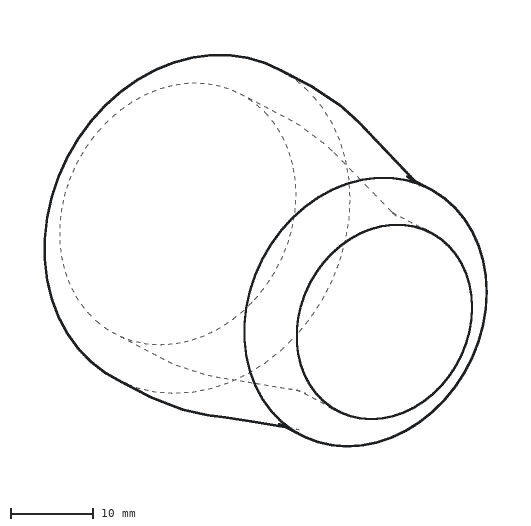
import cadquery as cq
import math

length = 51.0
large_diameter = 42.3
large_radius = large_diameter / 2
small_radius = 16.8
large_bevel = 4.8
small_bevel = 4.65

taper_start = 12.25
taper_end = 41.8
blend_length = 5.45
angle_iterations = 30

large_bore_radius = large_radius - large_bevel
small_bore_radius = small_radius - small_bevel


def add_transition(profile, start, end):
    """Continue a profile from start to end as arc, straight cone line, arc.

    Both arcs are tangent to the axis direction and to the cone line.
    """
    run = end[0] - start[0]
    rise = end[1] - start[1]
    direction = math.copysign(1.0, run)
    sign = math.copysign(1.0, rise)
    angle = math.atan2(abs(rise), abs(run))
    for _ in range(angle_iterations):
        tangent_length = blend_length / math.sin(angle) * math.tan(angle / 2)
        angle = math.atan2(abs(rise), abs(run) - 2 * tangent_length)
    blend_radius = blend_length / math.sin(angle)

    def arc_offset(turn):
        along = direction * blend_radius * math.sin(turn)
        across = sign * blend_radius * (1 - math.cos(turn))
        return along, across

    mid_along, mid_across = arc_offset(angle / 2)
    full_along, full_across = arc_offset(angle)
    return (
        profile
        .threePointArc(
            (start[0] + mid_along, start[1] + mid_across),
            (start[0] + full_along, start[1] + full_across),
        )
        .lineTo(end[0] - full_along, end[1] - full_across)
        .threePointArc((end[0] - mid_along, end[1] - mid_across), end)
    )


section = (
    cq.Workplane("XY")
    .moveTo(0, large_bore_radius)
    .lineTo(large_bevel, large_radius)
    .lineTo(taper_start, large_radius)
)
section = add_transition(section, (taper_start, large_radius), (taper_end, small_radius))
section = (
    section
    .lineTo(length - small_bevel, small_radius)
    .lineTo(length, small_bore_radius)
    .lineTo(taper_end, small_bore_radius)
)
section = add_transition(
    section, (taper_end, small_bore_radius), (taper_start, large_bore_radius)
)

result = section.close().revolve(360, (0, 0, 0), (1, 0, 0))